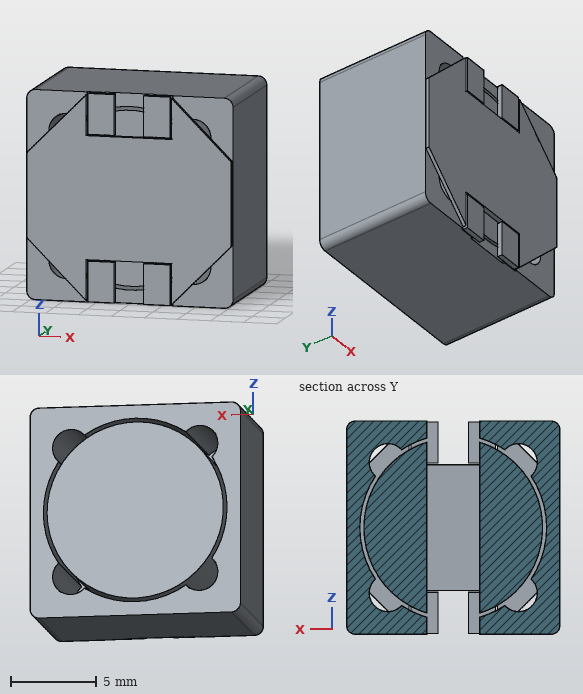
import cadquery as cq

SIDE = 12.5
TOTAL_DEPTH = 8.0
BODY_DEPTH = 7.78
CORNER_RADIUS = 0.52

BORE_RADIUS = 5.46
CORE_RADIUS = 5.24
LOBE_RADIUS = 1.09
LOBE_OFFSET = 3.82

PLATE_HALF = 6.19
PLATE_CHAMFER = 3.66

NOTCH_WIDTH = 5.18
NOTCH_INNER_Z = 3.69
NOTCH_FLOOR = 7.68
PAD_INNER_X = 0.89
PAD_WIDTH = 1.59
PAD_INNER_Z = 3.78
PAD_OUTER_Z = 6.2

CHANNEL_WIDTH = 3.08
CHANNEL_FLOOR = 7.56


def block(x_min, x_max, depth_min, depth_max, z_min, z_max):
    """Box between two depths, measured forward from the back face."""
    return cq.Workplane("XY").box(
        x_max - x_min, depth_max - depth_min, z_max - z_min, centered=False
    ).translate((x_min, -depth_max, z_min))


def make_shell():
    """Rounded square shell with a round bore and four corner lobes."""
    shell = cq.Workplane("XZ").rect(SIDE, SIDE).extrude(BODY_DEPTH).edges("|Y").fillet(CORNER_RADIUS)
    bore = cq.Workplane("XZ").circle(BORE_RADIUS).extrude(BODY_DEPTH)
    lobes = (
        cq.Workplane("XZ")
        .rect(2 * LOBE_OFFSET, 2 * LOBE_OFFSET, forConstruction=True)
        .vertices()
        .circle(LOBE_RADIUS)
        .extrude(BODY_DEPTH)
    )
    return shell.cut(bore).cut(lobes)


def make_plate():
    """Octagonal plate covering the front of the shell and core."""
    return (
        cq.Workplane("XZ", origin=(0, -BODY_DEPTH, 0))
        .rect(2 * PLATE_HALF, 2 * PLATE_HALF)
        .extrude(TOTAL_DEPTH - BODY_DEPTH)
        .edges("|Y")
        .chamfer(PLATE_CHAMFER)
    )


def make_upper_notch():
    """Recess through the plate and slightly into the shell and core."""
    half_width = NOTCH_WIDTH / 2
    return block(-half_width, half_width, NOTCH_FLOOR, TOTAL_DEPTH, NOTCH_INNER_Z, SIDE / 2)


def make_upper_pads():
    """Two terminal pads standing on the floor of the upper notch."""
    pad = block(PAD_INNER_X, PAD_INNER_X + PAD_WIDTH, NOTCH_FLOOR, TOTAL_DEPTH, PAD_INNER_Z, PAD_OUTER_Z)
    return pad.union(pad.mirror("YZ"))


core = cq.Workplane("XZ").circle(CORE_RADIUS).extrude(BODY_DEPTH)
channel = block(-CHANNEL_WIDTH / 2, CHANNEL_WIDTH / 2, CHANNEL_FLOOR, NOTCH_FLOOR, -SIDE / 2, SIDE / 2)
upper_notch = make_upper_notch()
upper_pads = make_upper_pads()

body = make_shell().union(core).union(make_plate())
body = body.cut(upper_notch).cut(upper_notch.mirror("XY")).cut(channel)
result = body.union(upper_pads).union(upper_pads.mirror("XY"))